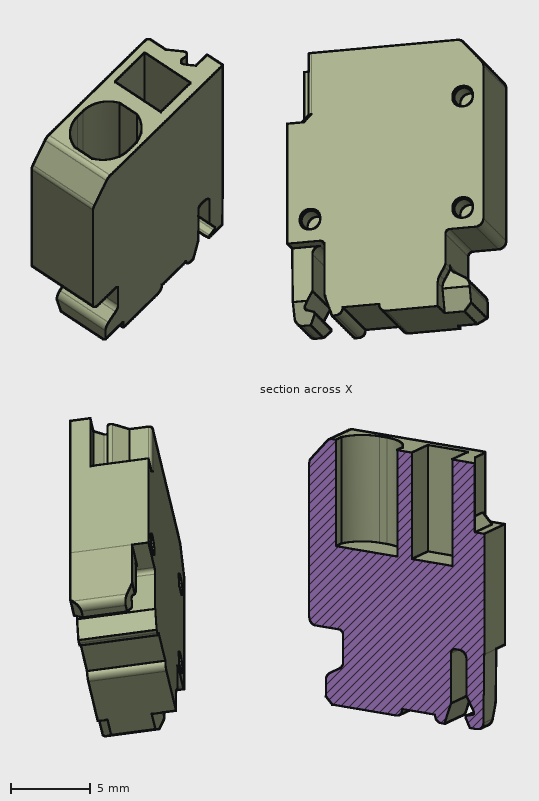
import cadquery as cq
import math


WIDTH = 5.0
DEPTH = 12.9
HEIGHT = 17.45

SHELF_Z = 5.0
NOSE_RUN = 1.48
NOSE_DROP = 1.68
EDGE_RADIUS = 0.5
INNER_RADIUS = 0.3

STEM_FRONT_Y = 2.5
STEM_BACK_Y = 10.45
STEM_TOE_Y = 9.96
STEM_TAPER_Z = 1.43
UNDERCUT_Y = 3.0
UNDERCUT_TOP_Z = 2.67
UNDERCUT_BOTTOM_Z = 1.78
UNDERCUT_RADIUS = 1.0
RELIEF_FRONT_Y = 6.85
RELIEF_BACK_Y = 9.25
RELIEF_HEIGHT = 0.49
RELIEF_RADIUS = 0.45

FOOT_SIDE_X = 1.05
FOOT_OVERLAP = 0.52
LEFT_SLANT_RUN = 0.5
LEFT_SLANT_HEIGHT = 1.47
RIGHT_SLANT = 0.63
HOOK_NOSE_Y = 1.22
HOOK_TOP_Z = 2.63
HOOK_NOSE_Z = 1.9
HOOK_NOSE_RADIUS = 0.63
HOOK_CHAMFER = 0.49
CLIP_ARM_Y = 11.55
CLIP_ARM_Z = 2.08
CLIP_HEEL_Y = 12.83
CLIP_THROAT = (12.18, 0.98)
CLIP_THROAT_RADIUS = 0.15
CLIP_TOOTH = (11.43, 0.75)
CLIP_TOOTH_RADIUS = 0.14
CLIP_TIP_Y = 11.81

POCKET_DEPTH = 6.98
SQUARE_LEFT_X = 0.58
SQUARE_RIGHT_X = 4.31
SQUARE_FRONT_Y = 7.57
SQUARE_BACK_Y = 10.52
OVAL_CENTER = (2.57, 4.24)
OVAL_WIDTH = 4.15
OVAL_SIDE_FLAT = 0.55
OVAL_LENGTH = 4.47

HOLE_CENTERS = [(1.36, 13.7), (1.36, 6.35), (11.4, 6.5)]
HOLE_RADIUS = 0.61
HOLE_MOUTH_RADIUS = 0.68
HOLE_MOUTH_DEPTH = 0.2
HOLE_DEPTH = 1.5

NOTCH_FLOOR_Z = 12.93
NOTCH_WALL_X = 3.72
NOTCH_FACE_Y = 11.55
NOTCH_RADIUS = 0.25
LATCH_START_X = 1.45
LATCH_PEAK = (2.91, 12.46)
LATCH_ROOT = (2.6, 11.08)
LATCH_END_Y = 11.78
RAMP_FOOT_Y = 12.23
RAMP_BEVEL_X = 0.49
RAMP_BEVEL_Y = 0.44
RAMP_SIZE = 1.4


def rounded_outline(workplane, corners):
    """Closed outline from corners (a, b) or (a, b, radius)."""
    count = len(corners)
    stretches = []
    for i, corner in enumerate(corners):
        point = cq.Vector(corner[0], corner[1])
        radius = corner[2] if len(corner) == 3 else 0
        if radius == 0:
            stretches.append([point])
            continue
        before = corners[i - 1]
        after = corners[(i + 1) % count]
        to_before = (cq.Vector(before[0], before[1]) - point).normalized()
        to_after = (cq.Vector(after[0], after[1]) - point).normalized()
        half_angle = to_before.getAngle(to_after) / 2
        tangent = radius / math.tan(half_angle)
        bulge = radius / math.sin(half_angle) - radius
        middle = point + (to_before + to_after).normalized() * bulge
        stretches.append([point + to_before * tangent, middle, point + to_after * tangent])

    outline = workplane.moveTo(stretches[0][-1].x, stretches[0][-1].y)
    for stretch in stretches[1:] + stretches[:1]:
        outline = outline.lineTo(stretch[0].x, stretch[0].y)
        if len(stretch) == 3:
            outline = outline.threePointArc(stretch[1].toTuple()[:2], stretch[2].toTuple()[:2])
    return outline.close()


def side_plate(corners, left_x):
    """Side outline in Y and Z, extruded from left_x to the right side."""
    plane = cq.Workplane("YZ", origin=(left_x, 0, 0))
    return rounded_outline(plane, corners).extrude(WIDTH - left_x)


def make_core():
    """Housing and stem, over the full width."""
    return side_plate([
        (0, SHELF_Z, EDGE_RADIUS),
        (0, HEIGHT - NOSE_DROP, EDGE_RADIUS),
        (NOSE_RUN, HEIGHT, EDGE_RADIUS),
        (DEPTH, HEIGHT),
        (DEPTH, SHELF_Z),
        (STEM_BACK_Y, SHELF_Z, INNER_RADIUS),
        (STEM_BACK_Y, STEM_TAPER_Z),
        (STEM_TOE_Y, 0),
        (RELIEF_BACK_Y, 0, RELIEF_RADIUS),
        (RELIEF_BACK_Y, RELIEF_HEIGHT),
        (RELIEF_FRONT_Y, RELIEF_HEIGHT),
        (RELIEF_FRONT_Y, 0, RELIEF_RADIUS),
        (UNDERCUT_Y, 0),
        (UNDERCUT_Y, UNDERCUT_BOTTOM_Z, UNDERCUT_RADIUS),
        (STEM_FRONT_Y, UNDERCUT_TOP_Z, EDGE_RADIUS),
        (STEM_FRONT_Y, SHELF_Z, INNER_RADIUS),
    ], 0)


def make_hook():
    """Fixed rail hook at the front of the stem."""
    back_y = UNDERCUT_Y + FOOT_OVERLAP
    top_z = HOOK_TOP_Z + FOOT_OVERLAP
    return side_plate([
        (back_y, 0),
        (back_y, top_z),
        (STEM_FRONT_Y, top_z),
        (STEM_FRONT_Y, HOOK_TOP_Z, EDGE_RADIUS),
        (HOOK_NOSE_Y, HOOK_NOSE_Z, HOOK_NOSE_RADIUS),
        (HOOK_NOSE_Y, HOOK_CHAMFER),
        (HOOK_NOSE_Y + HOOK_CHAMFER, 0),
    ], FOOT_SIDE_X)


def make_clip():
    """Spring clip hanging below the back of the housing."""
    top_z = SHELF_Z + FOOT_OVERLAP
    web_y = STEM_BACK_Y + INNER_RADIUS
    return side_plate([
        (DEPTH, top_z),
        (DEPTH, SHELF_Z),
        (CLIP_HEEL_Y, 0, EDGE_RADIUS),
        (CLIP_TIP_Y, 0),
        (*CLIP_TOOTH, CLIP_TOOTH_RADIUS),
        (*CLIP_THROAT, CLIP_THROAT_RADIUS),
        (CLIP_ARM_Y, CLIP_ARM_Z),
        (CLIP_ARM_Y, SHELF_Z, EDGE_RADIUS),
        (web_y, SHELF_Z),
        (web_y, top_z),
    ], FOOT_SIDE_X)


def make_feet_envelope():
    """Space that narrows toward the bottom and trims the sides of hook and clip."""
    return (
        cq.Workplane("XZ")
        .moveTo(FOOT_SIDE_X, HEIGHT)
        .lineTo(FOOT_SIDE_X, LEFT_SLANT_HEIGHT)
        .lineTo(FOOT_SIDE_X + LEFT_SLANT_RUN, 0)
        .lineTo(WIDTH - RIGHT_SLANT, 0)
        .lineTo(WIDTH, RIGHT_SLANT)
        .lineTo(WIDTH, HEIGHT)
        .close()
        .extrude(-DEPTH)
    )


def make_square_pocket():
    """Rectangular opening in the top."""
    return cq.Workplane("XY").box(
        SQUARE_RIGHT_X - SQUARE_LEFT_X, SQUARE_BACK_Y - SQUARE_FRONT_Y, POCKET_DEPTH, centered=False
    ).translate((SQUARE_LEFT_X, SQUARE_FRONT_Y, HEIGHT - POCKET_DEPTH))


def make_oval_pocket():
    """Slot-shaped opening whose round ends are cut flat at the front and back."""
    floor = cq.Workplane("XY", origin=(*OVAL_CENTER, HEIGHT - POCKET_DEPTH))
    slot = floor.slot2D(OVAL_WIDTH + OVAL_SIDE_FLAT, OVAL_WIDTH, angle=90).extrude(POCKET_DEPTH)
    flats = floor.rect(OVAL_WIDTH, OVAL_LENGTH).extrude(POCKET_DEPTH)
    return slot.intersect(flats)


def make_side_holes():
    """Blind holes with a tapered mouth, entering from the left side."""
    holes = cq.Workplane("YZ").pushPoints(HOLE_CENTERS).circle(HOLE_RADIUS).extrude(HOLE_DEPTH)
    for y, z in HOLE_CENTERS:
        mouth = cq.Solid.makeCone(
            HOLE_MOUTH_RADIUS, HOLE_RADIUS, HOLE_MOUTH_DEPTH, cq.Vector(0, y, z), cq.Vector(1, 0, 0)
        )
        holes = holes.union(mouth)
    return holes


def make_ramp():
    """45 degree ramp rising toward the front from the notch floor."""
    def section(left_x, foot_y):
        return (
            cq.Workplane("YZ", origin=(left_x, 0, 0))
            .moveTo(foot_y, NOTCH_FLOOR_Z)
            .lineTo(foot_y - RAMP_SIZE, NOTCH_FLOOR_Z)
            .lineTo(foot_y - RAMP_SIZE, NOTCH_FLOOR_Z + RAMP_SIZE)
            .close()
        )

    straight = section(RAMP_BEVEL_X, RAMP_FOOT_Y).extrude(NOTCH_WALL_X - RAMP_BEVEL_X)
    bevel = cq.Solid.makeLoft(
        [
            section(0, RAMP_FOOT_Y - RAMP_BEVEL_Y).val(),
            section(RAMP_BEVEL_X, RAMP_FOOT_Y).val(),
        ],
        True,
    )
    return straight.union(bevel)


def make_latch_notch():
    """Corner notch whose front wall carries a latch bump and a groove."""
    flare_y = NOTCH_FACE_Y - NOTCH_RADIUS
    notch = rounded_outline(cq.Workplane("XY", origin=(0, 0, NOTCH_FLOOR_Z)), [
        (-NOTCH_RADIUS, DEPTH),
        (-NOTCH_RADIUS, flare_y - NOTCH_RADIUS),
        (0, flare_y - NOTCH_RADIUS),
        (0, NOTCH_FACE_Y, NOTCH_RADIUS),
        (LATCH_START_X, NOTCH_FACE_Y),
        (*LATCH_PEAK, NOTCH_RADIUS),
        (*LATCH_ROOT, NOTCH_RADIUS),
        (NOTCH_WALL_X, LATCH_END_Y),
        (NOTCH_WALL_X, DEPTH),
    ]).extrude(HEIGHT - NOTCH_FLOOR_Z)
    return notch.cut(make_ramp())


feet = make_hook().union(make_clip()).intersect(make_feet_envelope())
result = make_core().union(feet)
for opening in (make_square_pocket(), make_oval_pocket(), make_side_holes(), make_latch_notch()):
    result = result.cut(opening)